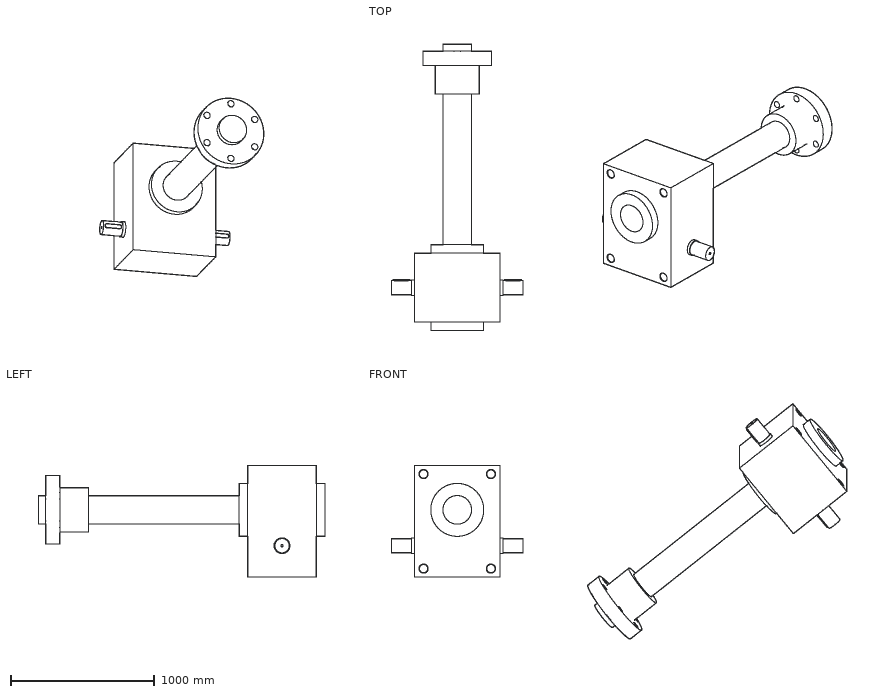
import cadquery as cq
import math


drill_point_angle = 118

housing_width = 600
housing_depth = 480
housing_height = 780
screw_to_top = 310
front_y = -housing_depth / 2
top_z = screw_to_top
bottom_z = top_z - housing_height

mount_side_inset = 65
mount_end_inset = 60
mount_hole_diameter = 57.51
mount_thread_diameter = 64
mount_hole_depth = 100

wheel_diameter = 370
wheel_overhang = 60
wheel_length = housing_depth + 2 * wheel_overhang
wheel_front_y = front_y - wheel_overhang

screw_diameter = 200
screw_length = 2000
screw_end_y = wheel_front_y + screw_length

shaft_z = -250
shaft_length = 920
shaft_end_diameter = 100
shaft_end_length = 140
shaft_core_diameter = 110
shaft_core_length = shaft_length - 2 * shaft_end_length
center_hole_diameter = 13.84
center_hole_depth = 30
center_thread_diameter = 16
key_width = 28
key_length = 120
key_projection = 6.4
key_center_x = (shaft_length - shaft_end_length) / 2

nut_end_gap = 50
flange_diameter = 480
flange_thickness = 100
nut_body_diameter = 310
nut_body_length = 200
flange_hole_diameter = 45
flange_hole_circle = 400
flange_hole_count = 6
neck_fillet = 5
flange_back_y = screw_end_y - nut_end_gap
flange_front_y = flange_back_y - flange_thickness
nut_front_y = flange_front_y - nut_body_length


def cylinder_y(diameter, start_y, length, x=0, z=0):
    """Cylinder along +Y that starts at start_y."""
    axis = cq.Vector(0, 1, 0)
    return cq.Workplane(cq.Solid.makeCylinder(diameter / 2, length, cq.Vector(x, start_y, z), axis))


def cylinder_x(diameter, start_x, length):
    """Cylinder along +X on the worm shaft axis that starts at start_x."""
    axis = cq.Vector(1, 0, 0)
    return cq.Workplane(cq.Solid.makeCylinder(diameter / 2, length, cq.Vector(start_x, 0, shaft_z), axis))


def tapped_hole(hole_diameter, thread_diameter, depth):
    """Blind hole cutter along +Y from the origin: mouth chamfered to thread size, conical drill point."""
    hole_radius = hole_diameter / 2
    mouth_radius = thread_diameter / 2
    chamfer = mouth_radius - hole_radius
    point_length = hole_radius / math.tan(math.radians(drill_point_angle / 2))
    return (
        cq.Workplane("XY")
        .lineTo(mouth_radius, 0)
        .lineTo(hole_radius, chamfer)
        .lineTo(hole_radius, depth)
        .lineTo(0, depth + point_length)
        .close()
        .revolve(360, (0, 0, 0), (0, 1, 0))
    )


def make_housing():
    body = cq.Workplane("XY").box(housing_width, housing_depth, housing_height)
    body = body.translate((0, 0, (top_z + bottom_z) / 2))
    body = body.cut(cylinder_y(wheel_diameter, front_y, housing_depth))
    body = body.cut(cylinder_x(shaft_core_diameter, -housing_width / 2, housing_width))
    mount_hole = tapped_hole(mount_hole_diameter, mount_thread_diameter, mount_hole_depth)
    hole_x = housing_width / 2 - mount_side_inset
    for x in (-hole_x, hole_x):
        for z in (bottom_z + mount_end_inset, top_z - mount_end_inset):
            body = body.cut(mount_hole.translate((x, front_y, z)))
    return body


def make_worm_wheel():
    sleeve = cylinder_y(wheel_diameter, wheel_front_y, wheel_length)
    return sleeve.cut(cylinder_y(screw_diameter, wheel_front_y, wheel_length))


def make_screw():
    return cylinder_y(screw_diameter, wheel_front_y, screw_length)


def shaft_key():
    """Round-ended key that stands out of the +Y side of the shaft, centred on X = 0."""
    key_top_y = shaft_end_diameter / 2 + key_projection
    return (
        cq.Workplane("XZ")
        .center(0, shaft_z)
        .slot2D(key_length, key_width)
        .extrude(-key_top_y)
    )


def make_worm_shaft():
    end_x = shaft_length / 2
    shaft = cylinder_x(shaft_end_diameter, -end_x, shaft_length)
    shaft = shaft.union(cylinder_x(shaft_core_diameter, -shaft_core_length / 2, shaft_core_length))
    for side in (-1, 1):
        shaft = shaft.union(shaft_key().translate((side * key_center_x, 0, 0)))
    center_hole = tapped_hole(center_hole_diameter, center_thread_diameter, center_hole_depth)
    center_hole = center_hole.rotate((0, 0, 0), (0, 0, 1), -90).translate((-end_x, 0, shaft_z))
    return shaft.cut(center_hole).cut(center_hole.mirror("YZ"))


def make_nut():
    nut = cylinder_y(flange_diameter, flange_front_y, flange_thickness)
    nut = nut.union(cylinder_y(nut_body_diameter, nut_front_y, nut_body_length))
    corner_reach = nut_body_diameter / 2 + neck_fillet
    corner_box = cq.selectors.BoxSelector(
        (-corner_reach, flange_front_y - neck_fillet, -corner_reach),
        (corner_reach, flange_front_y + neck_fillet, corner_reach),
        boundingbox=True,
    )
    nut = nut.edges(corner_box).fillet(neck_fillet)
    nut = nut.cut(cylinder_y(screw_diameter, nut_front_y, nut_body_length + flange_thickness))
    for index in range(flange_hole_count):
        angle = 2 * math.pi * (index + 0.5) / flange_hole_count
        x = flange_hole_circle / 2 * math.cos(angle)
        z = flange_hole_circle / 2 * math.sin(angle)
        nut = nut.cut(cylinder_y(flange_hole_diameter, flange_front_y, flange_thickness, x, z))
    return nut


housing = make_housing()
worm_wheel = make_worm_wheel()
screw = make_screw()
worm_shaft = make_worm_shaft()
nut = make_nut()

result = cq.Compound.makeCompound(
    [housing.val(), worm_wheel.val(), screw.val(), worm_shaft.val(), nut.val()]
)